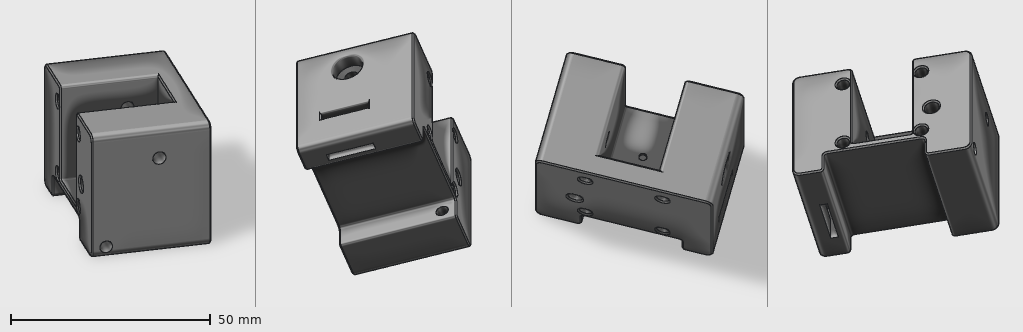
import cadquery as cq
import math

LENGTH = 46.0
DEPTH = 31.0
HEIGHT = 33.8
CORNER_RADIUS = 2.0
EDGE_CHAMFER = 0.4

NOTCH_LEFT = -15.0
NOTCH_RIGHT = 11.0
NOTCH_HEIGHT = 6.0
NOTCH_RADIUS = 1.0

CAVITY_WIDTH = 15.4
CAVITY_DEPTH = 25.4
CAVITY_FLOOR = 8.0
CAVITY_FLOOR_RADIUS = 0.5
CAVITY_RIM_RADIUS = 1.0

MOUNT_DIAMETER = 3.2
MOUNT_SPACING = 20.0
MOUNT_CENTRE_Z = 18.75
PASSAGE_DIAMETER = 3.8
PASSAGE_X = 12.7
PASSAGE_Z = 16.1

CROSS_DIAMETER = 3.4
CROSS_Y = 17.53
CROSS_Z = 25.85
COUNTERBORE_DIAMETER = 8.0
COUNTERBORE_DEPTH = 3.5

HOLE_RIM_RADIUS = 0.65

CLAMP_DIAMETER = 3.2
CLAMP_Y = 3.75
CLAMP_Z = NOTCH_HEIGHT / 2

PIN_DIAMETER = 2.0
PIN_DEPTH = 1.0
PIN_Y = 12.45

SLOT_WIDTH = 12.37
SLOT_HEIGHT = 2.0
SLOT_Y = 18.2
SLOT_Z = 10.0
SLOT_RIM_RADIUS = 0.65
SLOT_LENGTH = 1.25

CHANNEL_ROOF_RADIUS = 5.0

LEFT = -LENGTH / 2
RIGHT = LENGTH / 2

SELECT_MARGIN = 0.05

DIAGONAL = math.sqrt(0.5)


def box(x_min, x_max, y_min, y_max, z_min, z_max):
    size = (x_max - x_min, y_max - y_min, z_max - z_min)
    return cq.Workplane("XY").box(*size, centered=False).translate((x_min, y_min, z_min))


def edges_inside(x_min, x_max, y_min, y_max, z_min, z_max):
    """Selector for the edges whose centres lie in the given region."""
    low = (x_min - SELECT_MARGIN, y_min - SELECT_MARGIN, z_min - SELECT_MARGIN)
    high = (x_max + SELECT_MARGIN, y_max + SELECT_MARGIN, z_max + SELECT_MARGIN)
    return cq.selectors.BoxSelector(low, high)


def hole_along_y(x, z, diameter):
    """Through hole from front to back, chamfered at both ends."""
    radius = diameter / 2
    wide = radius + EDGE_CHAMFER
    half_section = [
        (0, 0), (wide, 0), (radius, EDGE_CHAMFER),
        (radius, DEPTH - EDGE_CHAMFER), (wide, DEPTH), (0, DEPTH),
    ]
    cutter = cq.Workplane("XY").polyline(half_section).close().revolve(360, (0, 0, 0), (0, 1, 0))
    return cutter.translate((x, 0, z))


def hole_along_x(start, end, y, z, diameter):
    return cq.Workplane("YZ", origin=(start, y, z)).circle(diameter / 2).extrude(end - start)


def make_block():
    block = box(LEFT, RIGHT, 0, DEPTH, 0, HEIGHT).edges("|Y").fillet(CORNER_RADIUS)
    notch = box(NOTCH_LEFT, NOTCH_RIGHT, 0, DEPTH, 0, NOTCH_HEIGHT)
    notch = notch.edges("|Y and >Z").fillet(NOTCH_RADIUS)
    block = block.cut(notch)
    rims = edges_inside(NOTCH_LEFT, NOTCH_RIGHT, 0, DEPTH, 0, 0)
    return block.edges("|Y").edges(rims).fillet(NOTCH_RADIUS)


def make_cavity():
    half = CAVITY_WIDTH / 2
    cavity = box(-half, half, 0, CAVITY_DEPTH, CAVITY_FLOOR, HEIGHT)
    return cavity.edges("|Y and <Z").fillet(CAVITY_FLOOR_RADIUS)


def round_cavity_rim(block):
    """Round the two long rims of the cavity and chamfer the short one at its back."""
    half = CAVITY_WIDTH / 2
    long_rims = edges_inside(-half, half, 0, CAVITY_DEPTH, HEIGHT, HEIGHT)
    back_rim = edges_inside(-half, half, CAVITY_DEPTH, CAVITY_DEPTH, HEIGHT, HEIGHT)
    block = block.edges("|Y").edges(long_rims).fillet(CAVITY_RIM_RADIUS)
    return block.edges("|X").edges(back_rim).chamfer(EDGE_CHAMFER)


def flared_hole_along_x(diameter, length, rim_radius):
    """Flat-ended bore from X = 0 towards +X whose rim at X = 0 is rounded."""
    radius = diameter / 2
    wide = radius + rim_radius
    bend = rim_radius * (1 - DIAGONAL)
    return (
        cq.Workplane("XY")
        .lineTo(0, wide)
        .threePointArc((bend, radius + bend), (rim_radius, radius))
        .lineTo(length, radius)
        .lineTo(length, 0)
        .close()
        .revolve(360, (0, 0, 0), (1, 0, 0))
    )


def make_slot_mouth():
    """Straight slot with rounded long rims and chamfered short rims."""
    half_height = SLOT_HEIGHT / 2
    tall = half_height + SLOT_RIM_RADIUS
    bend = SLOT_RIM_RADIUS * (1 - DIAGONAL)
    half_width = SLOT_WIDTH / 2
    wide = half_width + EDGE_CHAMFER
    side_section = (
        cq.Workplane("XZ")
        .moveTo(0, -tall)
        .lineTo(0, tall)
        .threePointArc((bend, half_height + bend), (SLOT_RIM_RADIUS, half_height))
        .lineTo(SLOT_LENGTH, half_height)
        .lineTo(SLOT_LENGTH, -half_height)
        .lineTo(SLOT_RIM_RADIUS, -half_height)
        .threePointArc((bend, -half_height - bend), (0, -tall))
        .close()
        .extrude(wide, both=True)
    )
    plan_section = (
        cq.Workplane("XY")
        .polyline([
            (0, -wide), (EDGE_CHAMFER, -half_width), (SLOT_LENGTH, -half_width),
            (SLOT_LENGTH, half_width), (EDGE_CHAMFER, half_width), (0, wide),
        ])
        .close()
        .extrude(tall, both=True)
    )
    return side_section.intersect(plan_section).translate((LEFT, SLOT_Y, SLOT_Z))


def make_channel():
    """Channel that leaves the slot level, turns down and opens through the underside."""
    roof = CHANNEL_ROOF_RADIUS
    floor = roof - SLOT_HEIGHT
    turn_x = LEFT + SLOT_LENGTH
    turn_z = SLOT_Z + SLOT_HEIGHT / 2 - roof
    return (
        cq.Workplane("XZ", origin=(turn_x, SLOT_Y, turn_z))
        .moveTo(0, roof)
        .threePointArc((roof * DIAGONAL, roof * DIAGONAL), (roof, 0))
        .lineTo(roof, -turn_z)
        .lineTo(floor, -turn_z)
        .lineTo(floor, 0)
        .threePointArc((floor * DIAGONAL, floor * DIAGONAL), (0, floor))
        .close()
        .extrude(SLOT_WIDTH / 2, both=True)
    )


body = round_cavity_rim(make_block().cut(make_cavity()))
body = body.faces("<Y or >Y").edges().chamfer(EDGE_CHAMFER)

for side in (-1, 1):
    for level in (-1, 1):
        mount_x = side * MOUNT_SPACING / 2
        mount_z = MOUNT_CENTRE_Z + level * MOUNT_SPACING / 2
        body = body.cut(hole_along_y(mount_x, mount_z, MOUNT_DIAMETER))
body = body.cut(hole_along_y(PASSAGE_X, PASSAGE_Z, PASSAGE_DIAMETER))

right_wall = CAVITY_WIDTH / 2
counterbore = flared_hole_along_x(COUNTERBORE_DIAMETER, COUNTERBORE_DEPTH, HOLE_RIM_RADIUS)
cross_exit = flared_hole_along_x(CROSS_DIAMETER, RIGHT - right_wall, HOLE_RIM_RADIUS)
body = body.cut(counterbore.translate((LEFT, CROSS_Y, CROSS_Z)))
body = body.cut(hole_along_x(LEFT, right_wall, CROSS_Y, CROSS_Z, CROSS_DIAMETER))
body = body.cut(cross_exit.translate((right_wall, CROSS_Y, CROSS_Z)))

body = body.cut(hole_along_x(NOTCH_RIGHT, RIGHT, CLAMP_Y, CLAMP_Z, CLAMP_DIAMETER))
pin_hole = cq.Workplane("XY", origin=(0, PIN_Y, CAVITY_FLOOR)).circle(PIN_DIAMETER / 2)
body = body.cut(pin_hole.extrude(-PIN_DEPTH))

result = body.cut(make_slot_mouth()).cut(make_channel())